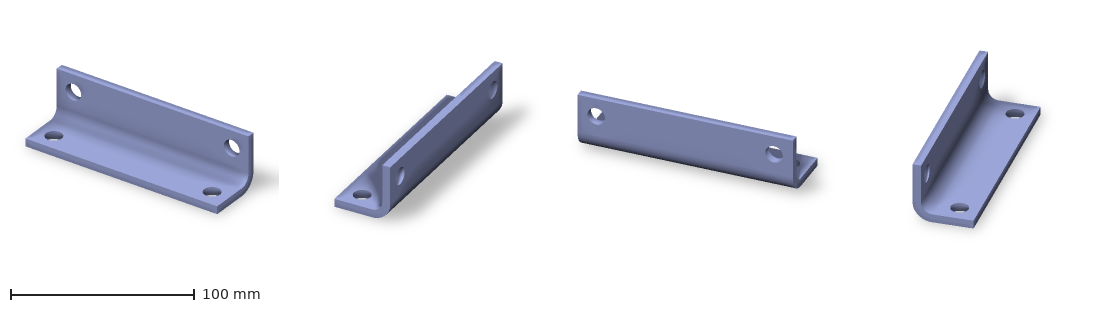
import cadquery as cq

length = 127.0
leg = 34.7
thickness = 5.0

inner_radius = 6.1
outer_radius = inner_radius + thickness

hole_diameter = 10.3
hole_spacing = 104.8
hole_edge_distance = 11.2
hole_offset = leg - hole_edge_distance


def angle_bar():
    """L-shaped bar: flat leg toward -Y, upright leg at Y = 0, centred on X."""
    block = cq.Workplane("XY").box(length, leg, leg, centered=(True, False, False))
    block = block.translate((0, -leg, 0))
    inner_space = cq.Workplane("XY").box(length, leg, leg, centered=(True, False, False))
    inner_space = inner_space.translate((0, -leg - thickness, thickness))
    bar = block.edges("|X and >Y and <Z").fillet(outer_radius)
    return bar.cut(inner_space.edges("|X and >Y and <Z").fillet(inner_radius))


def hole_pair(plane, across):
    """Two cylinders spaced along X, passing through one leg."""
    return (
        cq.Workplane(plane)
        .pushPoints([(-hole_spacing / 2, across), (hole_spacing / 2, across)])
        .circle(hole_diameter / 2)
        .extrude(thickness)
    )


flat_leg_holes = hole_pair("XY", -hole_offset)
upright_leg_holes = hole_pair("XZ", hole_offset)

result = angle_bar().cut(flat_leg_holes).cut(upright_leg_holes)